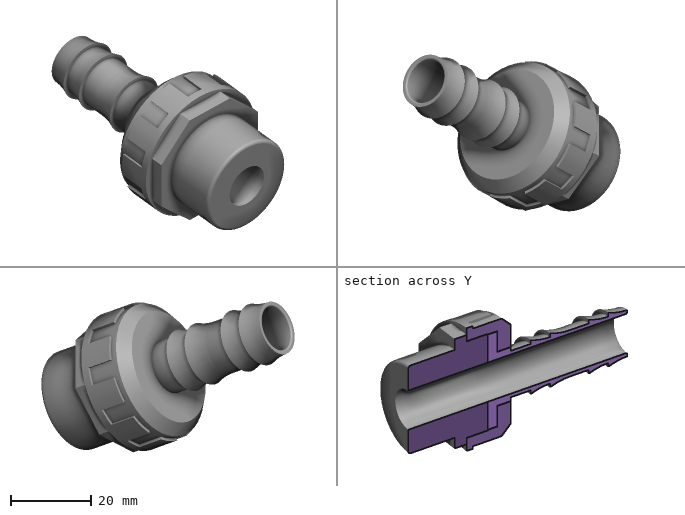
import cadquery as cq
import math

TOTAL_LENGTH = 66.0

STEM_RADIUS = 6.85
BORE_RADIUS = 5.65
BORE_MOUTH_FILLET = 0.5
BARB_RADIUS = 8.0
BARB_LENGTH = 5.83
BARB_SLOTS = (0, 1, 3, 4)
COLLAR_RADIUS = 8.0
FLANGE_THICKNESS = 3.0

NUT_START = 35.0
NUT_LENGTH = 13.4
NUT_RADIUS = 18.0
NUT_FLOOR_RADIUS = 17.25
NUT_FRONT_CHAMFER = 2.8
NUT_FRONT_WALL = 4.0
NUT_CAVITY_RADIUS = 14.0
GRIP_COUNT = 10
NOTCH_WIDTH = 4.56
NOTCH_LENGTH = 7.0
NOTCH_START = NUT_START + 4.4

OCTAGON_ACROSS_FLATS = 32.0
OCTAGON_SIDES = 8
OCTAGON_THICKNESS = 3.6
SPIGOT_RADIUS = 12.9
SPIGOT_FILLET = 0.9

NUT_END = NUT_START + NUT_LENGTH
FLANGE_START = NUT_START + NUT_FRONT_WALL
FLANGE_END = FLANGE_START + FLANGE_THICKNESS
OCTAGON_END = NUT_END + OCTAGON_THICKNESS


def cylinder(radius, start, end):
    """Solid cylinder on the X axis between two stations."""
    return cq.Workplane("YZ", origin=(start, 0, 0)).circle(radius).extrude(end - start)


def barb(start):
    """One barb: an arc that leaves the stem parallel to the axis and ends in a sharp rear step."""
    rise = BARB_RADIUS - STEM_RADIUS
    arc_radius = (BARB_LENGTH**2 + rise**2) / (2 * rise)
    half_angle = math.asin(BARB_LENGTH / arc_radius) / 2
    arc_middle = (
        start + arc_radius * math.sin(half_angle),
        STEM_RADIUS + arc_radius * (1 - math.cos(half_angle)),
    )
    tip = (start + BARB_LENGTH, BARB_RADIUS)
    return (
        cq.Workplane("XY")
        .moveTo(start, 0)
        .lineTo(start, STEM_RADIUS)
        .threePointArc(arc_middle, tip)
        .lineTo(start + BARB_LENGTH, 0)
        .close()
        .revolve(360, (0, 0, 0), (1, 0, 0))
    )


def make_hose_tail():
    """Barbed stem with the collar and flange that the nut clamps."""
    tail = cylinder(STEM_RADIUS, 0, FLANGE_END)
    for slot in BARB_SLOTS:
        tail = tail.union(barb(slot * BARB_LENGTH))
    tail = tail.union(cylinder(COLLAR_RADIUS, NUT_START, FLANGE_END))
    tail = tail.union(cylinder(NUT_CAVITY_RADIUS, FLANGE_START, FLANGE_END))
    tail = tail.cut(cylinder(BORE_RADIUS, 0, FLANGE_END))
    bore_rim = cq.selectors.RadiusNthSelector(0)
    return tail.faces("<X").edges(bore_rim).fillet(BORE_MOUTH_FILLET)


def grip_notch(angle):
    """Cutter for one notch: a parallel-sided slot with a cylindrical floor."""
    return (
        cq.Workplane("XY")
        .box(NOTCH_LENGTH, NOTCH_WIDTH, NUT_RADIUS * 2, centered=(False, True, False))
        .translate((NOTCH_START, 0, 0))
        .rotate((0, 0, 0), (1, 0, 0), angle)
        .cut(cylinder(NUT_FLOOR_RADIUS, NOTCH_START, NOTCH_START + NOTCH_LENGTH))
    )


def make_union_nut():
    """Nut with a bevelled front, raised grips around it and a cavity open to the rear."""
    nut = cylinder(NUT_FLOOR_RADIUS, NUT_START, NUT_END).faces("<X").chamfer(NUT_FRONT_CHAMFER)
    nut = nut.union(cylinder(NUT_RADIUS, NOTCH_START, NUT_END))
    for index in range(GRIP_COUNT):
        nut = nut.cut(grip_notch(index * 360 / GRIP_COUNT))
    nut = nut.cut(cylinder(COLLAR_RADIUS, NUT_START, FLANGE_START))
    return nut.cut(cylinder(NUT_CAVITY_RADIUS, FLANGE_START, NUT_END))


def make_connector():
    """Neck inside the nut, octagonal shoulder and rounded spigot, bored right through."""
    corner_diameter = OCTAGON_ACROSS_FLATS / math.cos(math.pi / OCTAGON_SIDES)
    shoulder = (
        cq.Workplane("YZ", origin=(NUT_END, 0, 0))
        .polygon(OCTAGON_SIDES, corner_diameter)
        .extrude(OCTAGON_THICKNESS)
        .rotate((0, 0, 0), (1, 0, 0), 180 / OCTAGON_SIDES)
    )
    spigot = cylinder(SPIGOT_RADIUS, OCTAGON_END, TOTAL_LENGTH).faces(">X").edges().fillet(SPIGOT_FILLET)
    neck = cylinder(NUT_CAVITY_RADIUS, FLANGE_END, NUT_END)
    body = neck.union(shoulder).union(spigot)
    return body.cut(cylinder(BORE_RADIUS, FLANGE_END, TOTAL_LENGTH))


hose_tail = make_hose_tail()
union_nut = make_union_nut()
connector = make_connector()

result = cq.Compound.makeCompound([hose_tail.val(), union_nut.val(), connector.val()])